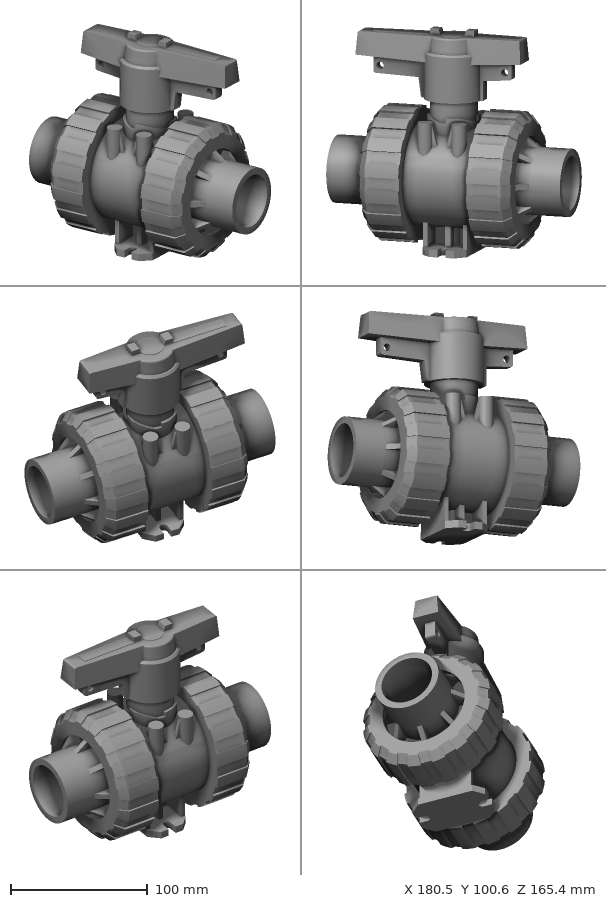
import cadquery as cq
import math


bore_radius = 20.0
housing_radius = 76.2 / 2
housing_end_x = 42.0

nut_inner_x = 26.2
nut_outer_x = 58.0
nut_radius = 50.5
nut_chamfer_x = 5.6
nut_chamfer_r = 6.0
nut_hole_radius = 65.0 / 2
nut_thread_radius = 77.2 / 2
groove_count = 16
groove_width = 9.3
groove_depth = 1.8

pipe_end_x = 180.5 / 2
pipe_step_x = 66.3
pipe_radius = 25.1
neck_radius = 50.0 / 2
pipe_step_length = 0.6
flange_x = 50.0
flange_radius = housing_radius
end_rib_count = 8
end_rib_width = 4.0
end_rib_slope = 5.9 / 8.0

stem_radius = 35.0 / 2
stem_top_z = 57.6
collar_radius = 19.75
collar_half_x = 18.75
collar_top_z = 46.0
collar_low_z = 42.3
collar_notch_count = 4
collar_ramp_top_angle = 60.0
collar_ramp_low_angle = 15.0

peg_diameter = 11.4
peg_x = 13.05
peg_y = 26.85
peg_top_z = 43.8
peg_rib_top_z = 40.7
peg_rib_width = 2.6
peg_rib_reach = 3.9
peg_rib_drop = 15.3
inner_rib_offset = 2.2

foot_bottom_z = -56.0
foot_thickness = 5.6
foot_length = 34.1
foot_width = 57.5
foot_corner = 7.4
foot_slot_width = 6.2
foot_slot_y = 22.3
side_wall_thickness = 3.3
side_wall_width = 40.8
middle_wall_thickness = 4.0
middle_wall_width = 28.4
foot_boss_radius = 6.2

hub_radius = 22.0
hub_shoulder_z = 93.3
hub_chamfer_r = 1.5
hub_chamfer_z = 1.6
cap_base_radius = 19.3
cap_top_radius = 17.7
cap_rounding = 1.5
blade_top_z = 104.9
blade_low_z = 85.9
blade_end_z = 87.5
blade_left_low_x = -54.7
blade_left_top_x = -53.4
blade_right_low_x = 73.2
blade_right_top_x = 71.8
blade_rounding = 1.5
blade_middle_low_half = 14.8
blade_middle_top_half = 12.2
blade_left_low_half = 10.3
blade_left_top_half = 8.4
blade_right_low_half = 9.6
blade_right_top_half = 7.5
fin_end_width = 8.2
fin_root_width = 9.9
fin_left_x = -45.8
fin_right_x = 60.9
fin_left_low_z = 74.3
fin_right_low_z = 73.9
fin_root_z = 72.7
fin_rounding = 2.0
skirt_rounding = 1.0
fin_hole_diameter = 5.5
fin_hole_z = 79.6
fin_left_hole_x = -40.5
fin_right_hole_x = 55.8
skirt_left_x = -24.1
skirt_right_top_x = 25.9
skirt_right_low_x = 23.9
disc_radius = 10.1
disc_top_z = 105.4
strip_end_x = 60.9
strip_width = 9.1
tab_top_z = 109.37
tab_outer_x = 17.0
tab_inner_top_x = 10.6
tab_inner_low_x = 9.4
tab_width = 8.4


def revolve_about_x(points):
    """Solid of revolution about the X axis from (x, radius) points."""
    mirrored = [(x, -r) for x, r in points]
    return cq.Workplane("XY").polyline(mirrored).close().revolve(360, (0, 0, 0), (1, 0, 0))


def upright(radius, low_z, high_z, x=0, y=0):
    """Vertical cylinder."""
    return cq.Workplane("XY", origin=(x, y, low_z)).circle(radius).extrude(high_z - low_z)


def block(x0, x1, half_y, z0, z1):
    """Box centred on the XZ plane."""
    box = cq.Workplane("XY").box(x1 - x0, 2 * half_y, z1 - z0, centered=(False, True, False))
    return box.translate((x0, 0, z0))


def plate_y(points, width):
    """Plate of the given width centred on the XZ plane, from (x, z) points."""
    return cq.Workplane("XZ").polyline(points).close().extrude(width / 2, both=True)


def round_ends(plate, corners, radius):
    """Round the edges along Y at the given (x, z) corners of a plate."""
    for x, z in corners:
        around = cq.selectors.BoxSelector((x - 1, -1, z - 1), (x + 1, 1, z + 1))
        plate = plate.edges(around).fillet(radius)
    return plate


def make_nut():
    """Union nut on the -X side."""
    chamfer_x = nut_chamfer_x - nut_outer_x
    nut = revolve_about_x(
        [
            (-nut_outer_x, nut_hole_radius),
            (-nut_outer_x, nut_radius - nut_chamfer_r),
            (chamfer_x, nut_radius),
            (-nut_inner_x, nut_radius),
            (-nut_inner_x, nut_thread_radius),
            (-flange_x, nut_thread_radius),
            (-flange_x, nut_hole_radius),
        ]
    )
    floor_r = nut_radius - groove_depth
    clear_r = nut_radius + groove_depth
    groove = plate_y(
        [
            (-nut_outer_x, floor_r - nut_chamfer_r),
            (chamfer_x, floor_r),
            (-nut_inner_x, floor_r),
            (-nut_inner_x, clear_r),
            (-nut_outer_x, clear_r),
        ],
        groove_width,
    )
    for i in range(groove_count):
        nut = nut.cut(groove.rotate((0, 0, 0), (1, 0, 0), i * 360 / groove_count))
    return nut


def make_pipe_end():
    """Pipe end with ribbed neck and flange on the -X side."""
    neck_x = pipe_step_length - pipe_step_x
    pipe_end = revolve_about_x(
        [
            (-pipe_end_x, bore_radius),
            (-pipe_end_x, pipe_radius),
            (-pipe_step_x, pipe_radius),
            (neck_x, neck_radius),
            (-flange_x, neck_radius),
            (-flange_x, flange_radius),
            (-housing_end_x, flange_radius),
            (-housing_end_x, bore_radius),
        ]
    )
    rib_full_x = -pipe_step_x + (nut_hole_radius - pipe_radius) / end_rib_slope
    rib_root_r = (bore_radius + neck_radius) / 2
    rib = plate_y(
        [
            (-pipe_step_x, rib_root_r),
            (-pipe_step_x, pipe_radius),
            (rib_full_x, nut_hole_radius),
            (-flange_x, nut_hole_radius),
            (-flange_x, rib_root_r),
        ],
        end_rib_width,
    )
    sleeve = revolve_about_x(
        [
            (-pipe_step_x, rib_root_r),
            (-pipe_step_x, nut_hole_radius),
            (-flange_x, nut_hole_radius),
            (-flange_x, rib_root_r),
        ]
    )
    rib = rib.intersect(sleeve)
    for i in range(end_rib_count):
        pipe_end = pipe_end.union(rib.rotate((0, 0, 0), (1, 0, 0), i * 360 / end_rib_count))
    return pipe_end


def make_collar():
    """Collar with flats at both X ends; each notch in its rim ramps down and ends at an upright step."""
    collar = upright(collar_radius, 0, collar_top_z)
    ramp_top_x = -collar_radius * math.sin(math.radians(collar_ramp_top_angle))
    ramp_low_x = -collar_radius * math.sin(math.radians(collar_ramp_low_angle))
    outline = [
        (ramp_top_x, collar_top_z),
        (ramp_low_x, collar_low_z),
        (0, collar_low_z),
        (0, collar_top_z),
    ]
    notch = cq.Workplane("XZ").polyline(outline).close().extrude(collar_radius)
    for i in range(collar_notch_count):
        collar = collar.cut(notch.rotate((0, 0, 0), (0, 0, 1), i * 360 / collar_notch_count))
    return collar.intersect(block(-collar_half_x, collar_half_x, collar_radius, 0, collar_top_z))


def make_peg():
    """Peg at +X, +Y with its two tapering ribs."""
    peg = upright(peg_diameter / 2, 0, peg_top_z, peg_x, peg_y)
    root = peg_diameter / 2
    tip = root + peg_rib_reach
    rib = plate_y(
        [
            (0, 0),
            (0, peg_rib_top_z),
            (-root, peg_rib_top_z),
            (-tip, peg_rib_top_z - peg_rib_drop),
            (-tip, 0),
        ],
        peg_rib_width,
    )
    inner_rib = rib.rotate((0, 0, 0), (0, 0, 1), 90).translate((inner_rib_offset, 0, 0))
    for each in (rib, inner_rib):
        peg = peg.union(each.translate((peg_x, peg_y, 0)))
    return peg


def make_foot():
    """Bolting foot: slotted plate on cross walls, side walls and a middle boss."""
    plate = (
        cq.Workplane("XY", origin=(0, 0, foot_bottom_z))
        .rect(foot_length, foot_width)
        .extrude(foot_thickness)
        .edges("|Z")
        .chamfer(foot_corner)
    )
    slot_length = foot_width - 2 * foot_slot_y
    for side in (-1, 1):
        slot = (
            cq.Workplane("XY", origin=(0, side * (foot_slot_y + slot_length / 2), foot_bottom_z))
            .slot2D(slot_length + foot_slot_width, foot_slot_width, 90)
            .extrude(foot_thickness)
        )
        plate = plate.cut(slot)
    half = foot_length / 2
    foot = plate
    for x0, x1, half_y in (
        (-half, side_wall_thickness - half, side_wall_width / 2),
        (half - side_wall_thickness, half, side_wall_width / 2),
        (-middle_wall_thickness / 2, middle_wall_thickness / 2, middle_wall_width / 2),
        (-half, half, middle_wall_thickness / 2),
    ):
        foot = foot.union(block(x0, x1, half_y, foot_bottom_z, 0))
    return foot.union(upright(foot_boss_radius, foot_bottom_z, 0))


def make_housing():
    """Bored housing with stem, collar, four pegs and foot."""
    housing = cq.Workplane("YZ").circle(housing_radius).extrude(housing_end_x, both=True)
    housing = housing.union(upright(stem_radius, 0, stem_top_z)).union(make_collar()).union(make_foot())
    peg = make_peg()
    for turned in (peg, peg.mirror("YZ")):
        housing = housing.union(turned).union(turned.mirror("XZ"))
    bore = cq.Workplane("YZ").circle(bore_radius).extrude(housing_end_x, both=True)
    return housing.cut(bore)


def make_hub():
    """Round hub with a chamfered shoulder and a tapering cap."""
    outline = [
        (0, stem_top_z),
        (hub_radius, stem_top_z),
        (hub_radius, hub_shoulder_z - hub_chamfer_z),
        (hub_radius - hub_chamfer_r, hub_shoulder_z),
        (cap_base_radius, hub_shoulder_z),
        (cap_top_radius, blade_top_z),
        (0, blade_top_z),
    ]
    hub = cq.Workplane("XZ").polyline(outline).close().revolve(360, (0, 0, 0), (0, 1, 0))
    return hub.faces(">Z").edges().fillet(cap_rounding)


def blade_outline(left_x, left_half, middle_half, right_x, right_half):
    """Six-sided plan, widest on the stem axis."""
    return [
        (left_x, -left_half),
        (0, -middle_half),
        (right_x, -right_half),
        (right_x, right_half),
        (0, middle_half),
        (left_x, left_half),
    ]


def make_blade():
    """Drafted handle blade whose underside rises toward both ends."""
    low = blade_outline(
        blade_left_low_x, blade_left_low_half, blade_middle_low_half, blade_right_low_x, blade_right_low_half
    )
    top = blade_outline(
        blade_left_top_x, blade_left_top_half, blade_middle_top_half, blade_right_top_x, blade_right_top_half
    )
    blade = (
        cq.Workplane("XY", origin=(0, 0, blade_low_z))
        .polyline(low)
        .close()
        .workplane(offset=blade_top_z - blade_low_z)
        .polyline(top)
        .close()
        .loft(ruled=True)
    )
    blade = blade.faces(">Z").edges("|Y").fillet(blade_rounding)
    for end_x, hub_x in ((blade_left_low_x, -hub_radius), (blade_right_low_x, hub_radius)):
        wedge = plate_y(
            [(hub_x, blade_low_z), (end_x, blade_low_z), (end_x, blade_end_z)], 2 * blade_middle_low_half
        )
        blade = blade.cut(wedge)
    return blade


def make_fin():
    """Locking fin under the blade: it narrows toward its ends, which have padlock holes."""
    profile = plate_y(
        [
            (fin_left_x, blade_end_z),
            (fin_left_x, fin_left_low_z),
            (skirt_left_x, fin_root_z),
            (skirt_left_x, stem_top_z),
            (skirt_right_low_x, stem_top_z),
            (skirt_right_top_x, fin_root_z),
            (fin_right_x, fin_right_low_z),
            (fin_right_x, blade_end_z),
        ],
        fin_root_width,
    )
    profile = round_ends(
        profile, [(fin_left_x, fin_left_low_z), (fin_right_x, fin_right_low_z)], fin_rounding
    )
    profile = round_ends(
        profile, [(skirt_left_x, stem_top_z), (skirt_right_low_x, stem_top_z)], skirt_rounding
    )
    plan = blade_outline(fin_left_x, fin_end_width / 2, fin_root_width / 2, fin_right_x, fin_end_width / 2)
    column = cq.Workplane("XY", origin=(0, 0, stem_top_z)).polyline(plan).close()
    fin = profile.intersect(column.extrude(blade_end_z - stem_top_z))
    for x in (fin_left_hole_x, fin_right_hole_x):
        hole = cq.Workplane("XZ", origin=(x, 0, fin_hole_z)).circle(fin_hole_diameter / 2)
        fin = fin.cut(hole.extrude(fin_root_width, both=True))
    return fin


def make_handle():
    """Handle with its top disc, pointer strip and two pointer tabs."""
    handle = make_hub().union(make_blade()).union(make_fin())
    handle = handle.union(upright(disc_radius, blade_low_z, disc_top_z))
    handle = handle.union(block(0, strip_end_x, strip_width / 2, blade_end_z, disc_top_z))
    tab = plate_y(
        [
            (tab_inner_low_x, blade_end_z),
            (tab_inner_low_x, disc_top_z),
            (tab_inner_top_x, tab_top_z),
            (tab_outer_x, tab_top_z),
            (tab_outer_x, blade_end_z),
        ],
        tab_width,
    )
    return handle.union(tab).union(tab.mirror("YZ"))


housing = make_housing()
handle = make_handle()
nut = make_nut()
pipe_end = make_pipe_end()
nuts = [nut, nut.mirror("YZ")]
pipe_ends = [pipe_end, pipe_end.mirror("YZ")]
bodies = [housing, handle, *nuts, *pipe_ends]
result = cq.Compound.makeCompound([body.val() for body in bodies])